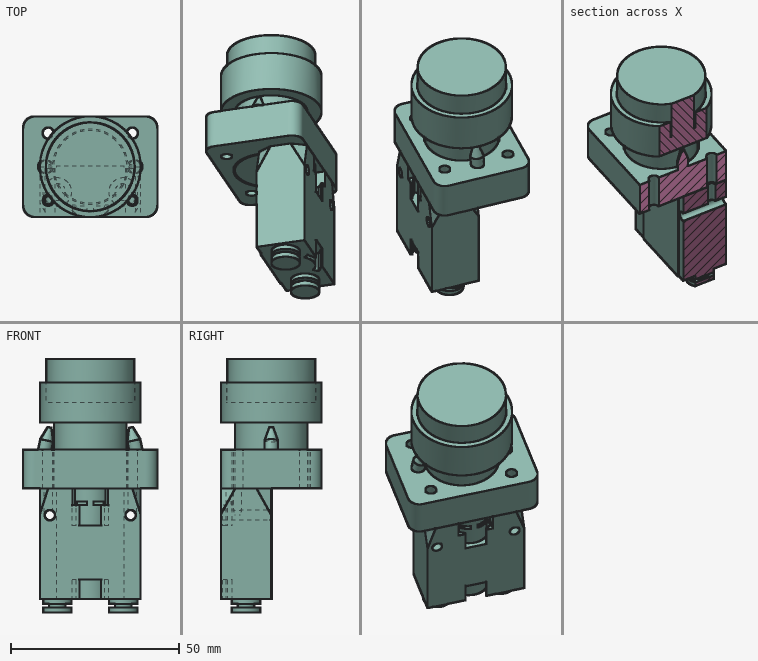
import cadquery as cq
import math


plate_length = 40.0
plate_width = 30.0
plate_thickness = 11.5
plate_corner_radius = 3.5
screw_hole_diameter = 3.25
screw_spacing_x = 25.0
screw_spacing_y = 20.0

neck_diameter = 21.7
neck_hole_diameter = 22.5
neck_exposed_height = 8.0
collar_diameter = plate_width
collar_height = 12.0
collar_bottom = plate_thickness + neck_exposed_height
collar_top = collar_bottom + collar_height

button_diameter = 26.3
recess_diameter = 26.5
recess_depth = 6.0
button_rise = 7.0

pin_diameter = 4.0
pin_tip_diameter = 1.2
pin_shank_length = 2.75
pin_cone_length = 4.0
pin_tilt = 12.0
pin_foot_x = 13.5
pin_embed = 2.0

block_length = 30.0
block_depth = 15.2
block_height = 33.0
back_pad_width = 20.0
back_pad_thickness = 0.3
block_front = -plate_width / 2
block_back = block_front + block_depth
body_back = block_back - back_pad_thickness
corner_cut_x = 2.5
corner_cut_y = 4.3
corner_cut_z = 7.8

cross_hole_diameter = 3.0
cross_hole_spacing = 24.0
cross_hole_drop = 8.0
pilot_diameter = 2.45

core_y = -plate_width / 4
core_radius = 6.0
groove_opening = 6.4
groove_half_angle = 45.0
upper_groove_height = 11.0
lower_groove_height = 5.9
groove_radius = 7.7

pocket_width = 10.7
pocket_depth = 3.65
pocket_height = 5.0
notch_width = 3.0
notch_spacing = 5.0
notch_height = 1.1
notch_depth = 3.3

fitting_diameter = 8.5
fitting_groove_diameter = 5.0
fitting_spacing = 19.6
fitting_flange_height = 1.4
fitting_groove_height = 1.0
fitting_ring_height = 1.6


def cylinder(diameter, height, bottom, x=0.0, y=0.0):
    """Vertical cylinder standing on the height `bottom`."""
    return cq.Workplane("XY", origin=(x, y, bottom)).circle(diameter / 2).extrude(height)


def box_between(x_limits, y_limits, z_limits):
    """Box given by its lower and upper limits along each axis."""
    sizes = [high - low for low, high in (x_limits, y_limits, z_limits)]
    corner = (x_limits[0], y_limits[0], z_limits[0])
    return cq.Workplane("XY", origin=corner).box(*sizes, centered=False)


def latch_pin(side):
    """Shank with a conical tip, leaning towards the neck; side is -1 or 1."""
    profile = [
        (0, -pin_embed),
        (pin_diameter / 2, -pin_embed),
        (pin_diameter / 2, pin_shank_length),
        (pin_tip_diameter / 2, pin_shank_length + pin_cone_length),
        (0, pin_shank_length + pin_cone_length),
    ]
    pin = cq.Workplane("XZ").polyline(profile).close().revolve(360, (0, 0, 0), (0, 1, 0))
    leaning = pin.rotate((0, 0, 0), (0, 1, 0), -side * pin_tilt)
    return leaning.translate((side * pin_foot_x, 0, plate_thickness))


def make_plate():
    """Mounting plate with its screw holes, neck hole and latch pins."""
    plate = (
        cq.Workplane("XY")
        .rect(plate_length, plate_width)
        .extrude(plate_thickness)
        .edges("|Z")
        .fillet(plate_corner_radius)
        .faces(">Z")
        .workplane()
        .rect(screw_spacing_x, screw_spacing_y, forConstruction=True)
        .vertices()
        .hole(screw_hole_diameter)
    )
    plate = plate.cut(cylinder(neck_hole_diameter, plate_thickness, 0))
    for side in (-1, 1):
        plate = plate.union(latch_pin(side))
    return plate


def make_head():
    """Neck standing on the valve block, with the recessed collar and the push button on top."""
    recess_floor = collar_top - recess_depth
    head = cylinder(neck_diameter, collar_bottom, 0)
    head = head.union(cylinder(collar_diameter, collar_height, collar_bottom))
    head = head.cut(cylinder(recess_diameter, recess_depth, recess_floor))
    return head.union(cylinder(button_diameter, recess_depth + button_rise, recess_floor))


def corner_cut(side, face_y, inward):
    """Tetrahedron that slants off one upper corner of the block."""
    corner = cq.Vector(side * block_length / 2, face_y, 0)
    along_x = corner + cq.Vector(-side * corner_cut_x, 0, 0)
    along_y = corner + cq.Vector(0, inward * corner_cut_y, 0)
    down = corner + cq.Vector(0, 0, -corner_cut_z)
    triangles = [
        (corner, along_x, along_y),
        (corner, along_y, down),
        (corner, down, along_x),
        (along_x, along_y, down),
    ]
    faces = [cq.Face.makeFromWires(cq.Wire.makePolygon(points, close=True)) for points in triangles]
    return cq.Workplane(cq.Solid.makeSolid(cq.Shell.makeShell(faces)))


def groove_sector(bottom, height):
    """Pie-shaped prism around the core axis, bounded by radial side walls."""
    angle = math.radians(groove_half_angle)
    end_x = groove_radius * math.sin(angle)
    end_y = -groove_radius * math.cos(angle)
    return (
        cq.Workplane("XY", origin=(0, core_y, bottom))
        .lineTo(-end_x, end_y)
        .threePointArc((0, -groove_radius), (end_x, end_y))
        .close()
        .extrude(height)
    )


def groove(bottom, height):
    """Sector plus the narrower opening that joins it to the front face."""
    opening_x = (-groove_opening / 2, groove_opening / 2)
    opening = box_between(opening_x, (block_front, core_y - core_radius / 2), (bottom, bottom + height))
    return groove_sector(bottom, height).union(opening)


def make_core():
    """Cylinder that stays standing in the openings, as tall as the block."""
    return cylinder(2 * core_radius, block_height, -block_height, y=core_y)


def upper_recess():
    """Wide pocket with the groove below it, less the notched core."""
    pocket_x = (-pocket_width / 2, pocket_width / 2)
    pocket = box_between(pocket_x, (block_front, block_front + pocket_depth), (-pocket_height, 0))
    recess = pocket.union(groove(-upper_groove_height, upper_groove_height - pocket_height))
    recess = recess.cut(make_core())
    for side in (-1, 1):
        centre = side * notch_spacing / 2
        notch_x = (centre - notch_width / 2, centre + notch_width / 2)
        notch_y = (block_front, block_front + notch_depth)
        recess = recess.union(box_between(notch_x, notch_y, (-pocket_height, notch_height - pocket_height)))
    return recess


def lower_recess():
    """Groove around the core that opens at the underside of the block."""
    return groove(-block_height, lower_groove_height).cut(make_core())


def fitting(x):
    """Push-in fitting: a flange, a waist and a release ring, stacked downwards."""
    steps = [
        (fitting_diameter, fitting_flange_height),
        (fitting_groove_diameter, fitting_groove_height),
        (fitting_diameter, fitting_ring_height),
    ]
    bottom = -block_height
    stack = cq.Workplane("XY")
    for diameter, height in steps:
        bottom -= height
        stack = stack.add(cylinder(diameter, height, bottom, x, core_y))
    return stack.combine()


def back_pad():
    """Thin raised pad over the full height of the back face."""
    pad_x = (-back_pad_width / 2, back_pad_width / 2)
    return box_between(pad_x, (body_back, block_back), (-block_height, 0))


def make_block():
    """Valve block with its front openings, cross holes and fittings."""
    half_length = block_length / 2
    block = box_between((-half_length, half_length), (block_front, body_back), (-block_height, 0))
    for side in (-1, 1):
        block = block.cut(corner_cut(side, block_front, 1))
        block = block.cut(corner_cut(side, body_back, -1))

        cross_hole = (
            cq.Workplane("XZ", origin=(side * cross_hole_spacing / 2, block_back, -cross_hole_drop))
            .circle(cross_hole_diameter / 2)
            .extrude(block_depth)
        )
        pilot_x = side * screw_spacing_x / 2
        pilot = cylinder(pilot_diameter, cross_hole_drop, -cross_hole_drop, pilot_x, -screw_spacing_y / 2)
        block = block.cut(cross_hole).cut(pilot)

    block = block.cut(upper_recess()).cut(lower_recess())
    block = block.union(back_pad())
    for side in (-1, 1):
        block = block.union(fitting(side * fitting_spacing / 2))
    return block


plate = make_plate()
head = make_head()
block = make_block()

result = cq.Compound.makeCompound([plate.val(), head.val(), block.val()])